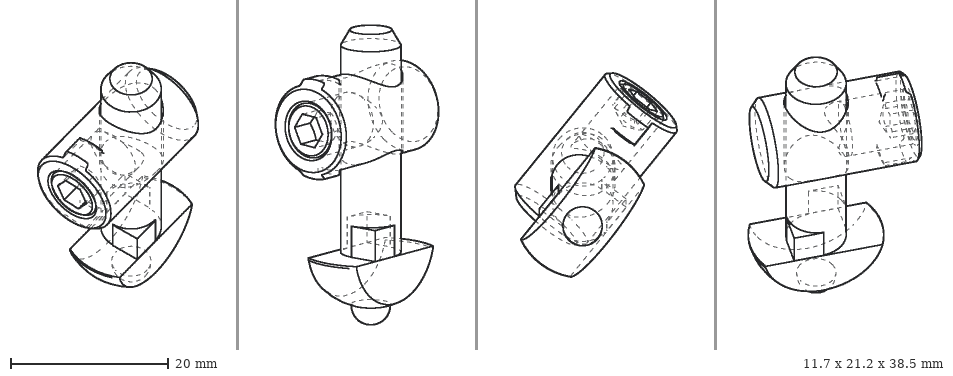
import cadquery as cq
import math

TOTAL_HEIGHT = 38.5

SHAFT_DIAMETER = 7.7
TIP_DIAMETER = 5.4
TIP_LENGTH = 2.0
HEAD_WIDTH = 7.95
HEAD_DIAMETER = 17.3
HEAD_TOP = 9.47
HEAD_RIM_HEIGHT = 0.3
HEAD_DOME_BOTTOM = 2.35
STOP_WIDTH = 7.85
STOP_HEIGHT = 4.05
NUB_DIAMETER = 5.0

HOUSING_DIAMETER = 11.7
HOUSING_LENGTH = 20.02
HOUSING_FRONT = -12.5
HOUSING_AXIS_HEIGHT = 27.5
REAR_CHAMFER = 1.0
FRONT_CHAMFER = 0.45
SHAFT_HOLE_DIAMETER = 8.15
KEY_OUTER_RADIUS = 6.5
KEY_WIDTH = 3.55
KEY_REAR = -8.47
KEY_FILLET = 0.25
KEY_ROOT_FILLET = 0.2

SCREW_DIAMETER = 7.1
SCREW_CHAMFER = 0.3
SCREW_SEAT_DIAMETER = 7.7
SOCKET_ACROSS_FLATS = 3.95
SOCKET_ANGLE = -3.5
SOCKET_DEPTH = 3.08
SOCKET_CONE_DEPTH = 1.15

HOUSING_RADIUS = HOUSING_DIAMETER / 2
SCREW_TIP = -SHAFT_DIAMETER / 2


def cylinder_along_y(radius, start, end):
    """Cylinder on the housing axis between two Y positions."""
    return cq.Workplane(
        cq.Solid.makeCylinder(
            radius, end - start, cq.Vector(0, start, HOUSING_AXIS_HEIGHT), cq.Vector(0, 1, 0)
        )
    )


def cone_along_y(start_radius, end_radius, start, length):
    """Cone on the housing axis, from its start toward +Y."""
    return cq.Workplane(
        cq.Solid.makeCone(
            start_radius,
            end_radius,
            length,
            cq.Vector(0, start, HOUSING_AXIS_HEIGHT),
            cq.Vector(0, 1, 0),
        )
    )


def make_shaft():
    """Round shaft with a tapered upper tip."""
    radius = SHAFT_DIAMETER / 2
    return (
        cq.Workplane("XZ")
        .moveTo(0, HEAD_TOP)
        .lineTo(radius, HEAD_TOP)
        .lineTo(radius, TOTAL_HEIGHT - TIP_LENGTH)
        .lineTo(TIP_DIAMETER / 2, TOTAL_HEIGHT)
        .lineTo(0, TOTAL_HEIGHT)
        .close()
        .revolve()
    )


def make_head():
    """Domed hammer head, cut to two flat sides."""
    rim_radius = HEAD_DIAMETER / 2
    rim_bottom = HEAD_TOP - HEAD_RIM_HEIGHT
    dome_depth = rim_bottom - HEAD_DOME_BOTTOM
    dome_radius = (rim_radius**2 + dome_depth**2) / (2 * dome_depth)
    dome_centre = HEAD_DOME_BOTTOM + dome_radius
    mid_angle = math.atan2(rim_radius, dome_centre - rim_bottom) / 2
    dome = (
        cq.Workplane("XZ")
        .moveTo(0, HEAD_DOME_BOTTOM)
        .threePointArc(
            (dome_radius * math.sin(mid_angle), dome_centre - dome_radius * math.cos(mid_angle)),
            (rim_radius, rim_bottom),
        )
        .lineTo(rim_radius, HEAD_TOP)
        .lineTo(0, HEAD_TOP)
        .close()
        .revolve()
    )
    return dome.intersect(cq.Workplane().box(HEAD_WIDTH, HEAD_DIAMETER, 2 * HEAD_TOP))


def make_stops():
    """Two square corners in opposite quadrants, which limit the turn of the stud."""
    side = STOP_WIDTH / 2
    return (
        cq.Workplane("XY", origin=(0, 0, HEAD_TOP))
        .pushPoints([(-side / 2, side / 2), (side / 2, -side / 2)])
        .rect(side, side)
        .extrude(STOP_HEIGHT)
    )


def make_nub():
    """Round-ended nub under the head."""
    radius = NUB_DIAMETER / 2
    neck = cq.Workplane("XY", origin=(0, 0, radius)).circle(radius).extrude(radius)
    return neck.union(cq.Workplane("XY", origin=(0, 0, radius)).sphere(radius))


def make_stud():
    return make_head().union(make_shaft()).union(make_stops()).union(make_nub())


def make_keys():
    """Upper and lower keys near the front end, with rounded long and rear edges."""
    length = KEY_REAR - HOUSING_FRONT
    bar = cq.Workplane("XY", origin=(0, HOUSING_FRONT + length / 2, HOUSING_AXIS_HEIGHT)).box(
        KEY_WIDTH, length, 2 * HOUSING_DIAMETER
    )
    ring = cylinder_along_y(KEY_OUTER_RADIUS, HOUSING_FRONT, KEY_REAR)
    return bar.intersect(ring).edges("|Y or (>Y and %CIRCLE)").fillet(KEY_FILLET)


def is_key_root(edge):
    """True for an edge on the barrel surface that borders the side or rear of a key."""
    tolerance = 0.005
    if edge.Center().y < HOUSING_FRONT + tolerance:
        return False
    for point in edge.positions([0, 0.5, 1]):
        axis_distance = math.hypot(point.x, point.z - HOUSING_AXIS_HEIGHT)
        on_barrel = abs(axis_distance - HOUSING_RADIUS) < tolerance
        beside_key = abs(point.x) < KEY_WIDTH / 2 + tolerance and point.y < KEY_REAR + tolerance
        if not (on_barrel and beside_key):
            return False
    return True


def round_key_roots(keyed_barrel):
    """Fillet the side and rear corners where both keys meet the barrel."""
    solid = keyed_barrel.val()
    roots = [edge for edge in solid.Edges() if is_key_root(edge)]
    return cq.Workplane(solid.fillet(KEY_ROOT_FILLET, roots))


def make_front_cone():
    """Solid of revolution whose 45 degree front taper trims the housing and its keys."""
    face_radius = HOUSING_RADIUS - FRONT_CHAMFER
    taper = KEY_OUTER_RADIUS - face_radius
    rear = HOUSING_FRONT + HOUSING_LENGTH
    return cylinder_along_y(KEY_OUTER_RADIUS, HOUSING_FRONT, rear).faces("<Y").chamfer(taper)


def make_housing():
    """Cross cylinder with keys, a shaft hole and a set screw hole."""
    rear = HOUSING_FRONT + HOUSING_LENGTH
    barrel = cylinder_along_y(HOUSING_RADIUS, HOUSING_FRONT, rear).faces(">Y").chamfer(REAR_CHAMFER)
    keyed_barrel = barrel.union(make_keys())
    body = round_key_roots(keyed_barrel).intersect(make_front_cone())
    shaft_hole = cq.Workplane("XY").circle(SHAFT_HOLE_DIAMETER / 2).extrude(TOTAL_HEIGHT)
    screw_hole = cylinder_along_y(SCREW_DIAMETER / 2, HOUSING_FRONT, 0)
    seat_depth = (SCREW_SEAT_DIAMETER - SCREW_DIAMETER) / 2
    seat = cone_along_y(SCREW_SEAT_DIAMETER / 2, SCREW_DIAMETER / 2, HOUSING_FRONT, seat_depth)
    return body.cut(shaft_hole).cut(screw_hole).cut(seat)


def make_set_screw():
    """Set screw bearing on the shaft, with a hexagon socket that ends in a cone."""
    screw = cylinder_along_y(SCREW_DIAMETER / 2, HOUSING_FRONT, SCREW_TIP)
    screw = screw.faces("<Y").chamfer(SCREW_CHAMFER)
    corner_radius = SOCKET_ACROSS_FLATS / 2 / math.cos(math.pi / 6)
    socket_length = SOCKET_DEPTH + SOCKET_CONE_DEPTH
    socket_end = HOUSING_FRONT + SOCKET_DEPTH
    hexagon = (
        cq.Workplane("XZ", origin=(0, HOUSING_FRONT + socket_length, HOUSING_AXIS_HEIGHT))
        .transformed(rotate=(0, 0, SOCKET_ANGLE))
        .polygon(6, 2 * corner_radius)
        .extrude(socket_length)
    )
    pointed_bore = cylinder_along_y(corner_radius, HOUSING_FRONT, socket_end).union(
        cone_along_y(corner_radius, 0, socket_end, SOCKET_CONE_DEPTH)
    )
    return screw.cut(hexagon.intersect(pointed_bore))


stud = make_stud()
housing = make_housing()
set_screw = make_set_screw()

result = cq.Compound.makeCompound([stud.val(), housing.val(), set_screw.val()])